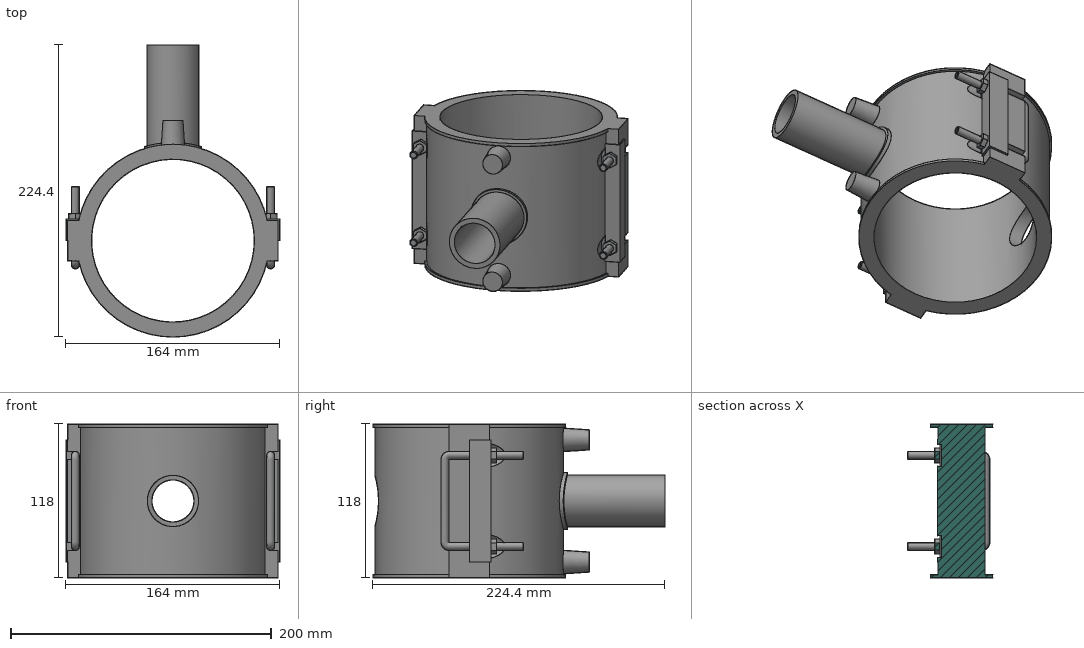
import cadquery as cq
import math

HEIGHT = 118.0
BORE_RADIUS = 62.5
BODY_RADIUS = 72.5
RIM_RADIUS = 74.0
RIM_HEIGHT = 2.5

WIDTH = 164.0
PLATE_THICKNESS = 1.23
PLATE_HEIGHT = 93.8
LUG_DEPTH = 15.5

PIPE_END = 150.4
PIPE_DIAMETER = 40.0
PIPE_BORE = 32.0
FRONT_HOLE = 39.3
WELD_DIAMETER = 44.0
WELD_RADIUS = 75.5

STUB_END = 92.2
STUB_END_DIAMETER = 15.5
STUB_BASE_DIAMETER = 18.2
STUB_Z = 47.0

ROD_DIAMETER = 6.0
ROD_TIP_DIAMETER = 4.7
ROD_X = 75.0
ROD_Z = 35.0
ROD_END = 41.7
BEND_RADIUS = 3.4
BAR_GAP = 0.11
SLOT_WIDTH = 6.3
NUT_FLATS = 10.0
NUT_THICKNESS = 4.0
CLEARANCE_RADIUS = 13.0
CLEARANCE_X = 80.1

half_height = HEIGHT / 2
plate_outer_x = WIDTH / 2
lug_outer_x = plate_outer_x - PLATE_THICKNESS
plate_top = LUG_DEPTH + PLATE_THICKNESS
rod_radius = ROD_DIAMETER / 2
rod_back_y = -LUG_DEPTH - rod_radius - BAR_GAP
wall_middle = (BORE_RADIUS + BODY_RADIUS) / 2


def box(x_range, y_range, z_range):
    """Box between the given limits along each axis."""
    (x0, x1), (y0, y1), (z0, z1) = x_range, y_range, z_range
    return cq.Workplane("XY").box(x1 - x0, y1 - y0, z1 - z0, centered=False).translate((x0, y0, z0))


def disc(radius, bottom, top):
    """Cylinder about the ring axis."""
    return cq.Workplane("XY").workplane(offset=bottom).circle(radius).extrude(top - bottom)


def rod_along_y(radius, start, end, x=0.0, z=0.0):
    """Cylinder parallel to Y from start to end."""
    return cq.Workplane(cq.Solid.makeCylinder(radius, end - start, cq.Vector(x, start, z), cq.Vector(0, 1, 0)))


def ring_blank():
    """Solid drum with a raised rim at each end and a lug block across both sides."""
    drum = disc(BODY_RADIUS, -half_height, half_height)
    drum = drum.union(disc(RIM_RADIUS, -half_height, -half_height + RIM_HEIGHT))
    drum = drum.union(disc(RIM_RADIUS, half_height - RIM_HEIGHT, half_height))
    lugs = box((-lug_outer_x, lug_outer_x), (-LUG_DEPTH, LUG_DEPTH), (-half_height, half_height))
    return drum.union(lugs)


def branch_pipe():
    """Outside of the branch pipe with its weld collar following the ring surface."""
    pipe = rod_along_y(PIPE_DIAMETER / 2, wall_middle, PIPE_END)
    collar = rod_along_y(WELD_DIAMETER / 2, 0, PIPE_END)
    collar = collar.intersect(disc(WELD_RADIUS, -half_height, half_height))
    return pipe.union(collar)


def tapered_stub(z):
    """Tapered stub above or below the branch pipe, rooted inside the wall."""
    taper = (STUB_BASE_DIAMETER - STUB_END_DIAMETER) / (STUB_END - BODY_RADIUS)
    length = STUB_END - wall_middle
    root_diameter = STUB_END_DIAMETER + taper * length
    return cq.Workplane(
        cq.Solid.makeCone(
            root_diameter / 2, STUB_END_DIAMETER / 2, length,
            cq.Vector(0, wall_middle, z), cq.Vector(0, 1, 0),
        )
    )


def clamp_plate():
    """Right-hand angle plate wrapping the outer and upper faces of the rear lug."""
    z_range = (-PLATE_HEIGHT / 2, PLATE_HEIGHT / 2)
    inner_x = math.sqrt(BODY_RADIUS**2 - plate_top**2)
    side_leaf = box((lug_outer_x, plate_outer_x), (0, plate_top), z_range)
    top_leaf = box((inner_x, plate_outer_x), (LUG_DEPTH, plate_top), z_range)
    return side_leaf.union(top_leaf)


def bolt_slot(z):
    """Slot in the right-hand front lug, open outwards, for one U-bolt leg."""
    return box((ROD_X, lug_outer_x), (-LUG_DEPTH, 0), (z - SLOT_WIDTH / 2, z + SLOT_WIDTH / 2))


def u_bolt():
    """Right-hand U-bolt with a hexagon nut on each leg."""
    path = (
        cq.Workplane("YZ", origin=(ROD_X, 0, 0))
        .moveTo(ROD_END, -ROD_Z)
        .lineTo(rod_back_y + BEND_RADIUS, -ROD_Z)
        .radiusArc((rod_back_y, -ROD_Z + BEND_RADIUS), BEND_RADIUS)
        .lineTo(rod_back_y, ROD_Z - BEND_RADIUS)
        .radiusArc((rod_back_y + BEND_RADIUS, ROD_Z), BEND_RADIUS)
        .lineTo(ROD_END, ROD_Z)
    )
    bolt = cq.Workplane("XZ", origin=(ROD_X, ROD_END, -ROD_Z)).circle(rod_radius).sweep(path)
    bolt = bolt.faces(">Y").chamfer((ROD_DIAMETER - ROD_TIP_DIAMETER) / 2)
    for z in (-ROD_Z, ROD_Z):
        nut = (
            cq.Workplane("XZ", origin=(ROD_X, plate_top, z))
            .polygon(6, NUT_FLATS, circumscribed=True)
            .extrude(-NUT_THICKNESS)
        )
        bolt = bolt.union(nut)
    return bolt


def add_both_sides(part, feature):
    """Join a right-hand feature and its mirror image to the part."""
    return part.union(feature).union(feature.mirror("YZ"))


def cut_both_sides(part, feature):
    """Cut a right-hand feature and its mirror image from the part."""
    return part.cut(feature).cut(feature.mirror("YZ"))


result = ring_blank()
for leg_z in (-ROD_Z, ROD_Z):
    result = cut_both_sides(result, bolt_slot(leg_z))
    clearance = rod_along_y(CLEARANCE_RADIUS, LUG_DEPTH, ROD_END, CLEARANCE_X, leg_z)
    result = cut_both_sides(result, clearance)

result = result.union(branch_pipe())
for stub_z in (-STUB_Z, STUB_Z):
    result = result.union(tapered_stub(stub_z))

result = result.cut(disc(BORE_RADIUS, -half_height, half_height))
result = result.cut(rod_along_y(PIPE_BORE / 2, 0, PIPE_END))
result = result.cut(rod_along_y(FRONT_HOLE / 2, -RIM_RADIUS, 0))

result = add_both_sides(result, clamp_plate())
result = add_both_sides(result, u_bolt())